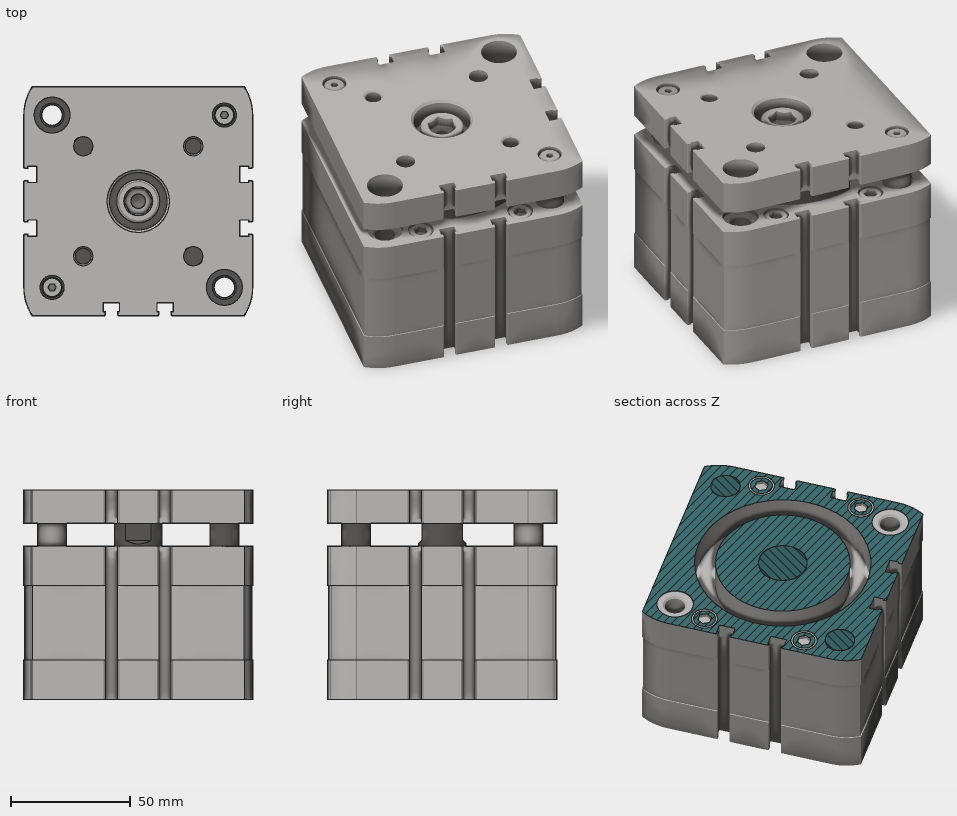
import cadquery as cq
import math

WIDTH = 95.5
TOTAL_HEIGHT = 87.4
PLATE_THICKNESS = 13.9
PLATE_BOTTOM = TOTAL_HEIGHT - PLATE_THICKNESS
HOUSING_TOP = 64.0
CAP_HEIGHT = 16.5
BARREL_INSET = 0.43
HALF = WIDTH / 2

CORNER_RADIUS = 22.0
CORNER_START = 35.8
CORNER_END = 46.5

SLOT_OFFSET = 11.2
SLOT_MOUTH = 5.2
SLOT_WIDTH = 6.7
SLOT_DEPTH = 5.35
SLOT_LIP = 1.7
SLOT_MOUTH_ROUNDING = 0.5

CORNER_HOLE = 35.9
GUIDE_DIAMETER = 12.0
SEAL_DIAMETER = 14.0
SEAL_DEPTH = 1.0
ROD_END = CAP_HEIGHT
MOUNT_ACCESS_DIAMETER = 15.0
MOUNT_RECESS_DEPTH = 2.0
MOUNT_HOLE_DIAMETER = 8.5
MOUNT_CHAMFER_DIAMETER = 10.0

PLATE_HOLE = 22.9
PLAIN_HOLE_DIAMETER = 8.0
THREAD_HOLE_DIAMETER = 6.7
THREAD_CHAMFER_DIAMETER = 8.0

BEARING_BOSS_DIAMETER = 56.3
GROOVE_DIAMETER = 73.3
GROOVE_DEPTH = 14.3
LEDGE_DIAMETER = 76.8
LEDGE_DEPTH = 0.8

PISTON_ROD_DIAMETER = 20.0
FLAT_DISTANCE = 17.0
FLAT_BOTTOM = 66.4
ROD_RECESS_DIAMETER = 24.0
ROD_RECESS_MOUTH = 26.0
ROD_RECESS_DEPTH = 9.55
ROD_TIP_DIAMETER = 18.0
ROD_TIP_HEIGHT = 6.0
ROD_TIP_ROUNDING = 0.8
ROD_HEX_FLATS = 10.7
ROD_HEX_DEPTH = 4.4
ROD_CONE_DEPTH = 0.8
ROD_HEX_MOUTH = 12.0
ROD_PILOT_DIAMETER = 6.0
ROD_PILOT_DEPTH = 1.9

SCREW_CHAMFER = 0.4
GUIDE_SCREW_RECESS_DIAMETER = 10.0
GUIDE_SCREW_HEAD_DIAMETER = 8.5
GUIDE_SCREW_RECESS = 2.9
GUIDE_SCREW_HEAD_HEIGHT = 2.1
GUIDE_HEX_FLATS = 3.0
GUIDE_HEX_DEPTH = 1.9
CAP_SCREW_RECESS_DIAMETER = 10.7
CAP_SCREW_HEAD_DIAMETER = 9.4
CAP_SCREW_X = 40.5
CAP_SCREW_Y = 21.7
CAP_SCREW_RECESS = 1.4
CAP_SCREW_HEAD_HEIGHT = 1.1
CAP_HEX_FLATS = 5.0
CAP_HEX_DEPTH = 2.9
CAP_HEX_MOUTH = 6.0

GUIDE_POINTS = [(CORNER_HOLE, CORNER_HOLE), (-CORNER_HOLE, -CORNER_HOLE)]
MOUNT_POINTS = [(-CORNER_HOLE, CORNER_HOLE), (CORNER_HOLE, -CORNER_HOLE)]
THREAD_POINTS = [(PLATE_HOLE, PLATE_HOLE), (-PLATE_HOLE, -PLATE_HOLE)]
PLAIN_POINTS = [(-PLATE_HOLE, PLATE_HOLE), (PLATE_HOLE, -PLATE_HOLE)]
CAP_SCREW_POINTS = [(x, y) for x in (-CAP_SCREW_X, CAP_SCREW_X) for y in (-CAP_SCREW_Y, CAP_SCREW_Y)]


def cylinder(diameter, z_bottom, z_top, points=((0, 0),)):
    """Upright cylinders at the given places."""
    return (
        cq.Workplane("XY")
        .workplane(offset=z_bottom)
        .pushPoints(points)
        .circle(diameter / 2)
        .extrude(z_top - z_bottom)
    )


def cone(low_diameter, high_diameter, z_bottom, z_top, points=((0, 0),)):
    """Upright cones at the given places; a zero diameter makes a point."""
    solid = cq.Solid.makeCone(low_diameter / 2, high_diameter / 2, z_top - z_bottom)
    return cq.Workplane("XY").pushPoints(points).eachpoint(
        lambda place: solid.translate((0, 0, z_bottom)).moved(place)
    )


def mouth_chamfer(hole_diameter, mouth_diameter, z_top, points):
    """45-degree cutter that widens a hole to its mouth diameter."""
    depth = (mouth_diameter - hole_diameter) / 2
    return cone(hole_diameter, mouth_diameter, z_top - depth, z_top, points)


def hex_socket(across_flats, depth, z_top, points=((0, 0),)):
    """Hexagonal cutters reaching down from z_top."""
    corner_diameter = across_flats / math.cos(math.pi / 6)
    return (
        cq.Workplane("XY")
        .workplane(offset=z_top)
        .pushPoints(points)
        .polygon(6, corner_diameter)
        .extrude(-depth)
    )


def block(z_bottom, z_top, inset=0.0):
    """Square prism whose +X and -X sides curve inwards towards the corners.

    Each curve ends in a short straight edge tangent to it.
    """
    side = HALF - inset
    start = CORNER_START
    end = CORNER_END - inset
    middle = (start + end) / 2

    def curve_x(y):
        return side - CORNER_RADIUS + math.sqrt(CORNER_RADIUS**2 - (y - start) ** 2)

    slope = (end - start) / math.sqrt(CORNER_RADIUS**2 - (end - start) ** 2)
    edge_x = curve_x(end) - (side - end) * slope
    quarter = (
        cq.Workplane("XY")
        .workplane(offset=z_bottom)
        .lineTo(side, 0)
        .lineTo(side, start)
        .threePointArc((curve_x(middle), middle), (curve_x(end), end))
        .lineTo(edge_x, side)
        .lineTo(0, side)
        .close()
        .extrude(z_top - z_bottom)
    )
    half = quarter.union(quarter.mirror("YZ"))
    return half.union(half.mirror("XZ")).clean()


def slot_cutter(z_bottom, z_top):
    """T-slot with rounded mouth edges, open towards -Y at Y = -HALF."""
    height = z_top - z_bottom
    half_mouth = SLOT_MOUTH / 2
    rounding = SLOT_MOUTH_ROUNDING
    bend = rounding * (1 - math.sqrt(0.5))
    mouth = (
        cq.Workplane("XY")
        .workplane(offset=z_bottom)
        .moveTo(-half_mouth - rounding, -HALF)
        .threePointArc((-half_mouth - bend, -HALF + bend), (-half_mouth, -HALF + rounding))
        .lineTo(-half_mouth, -HALF + SLOT_DEPTH)
        .lineTo(half_mouth, -HALF + SLOT_DEPTH)
        .lineTo(half_mouth, -HALF + rounding)
        .threePointArc((half_mouth + bend, -HALF + bend), (half_mouth + rounding, -HALF))
        .close()
        .extrude(height)
    )
    head = (
        cq.Workplane("XY")
        .workplane(offset=z_bottom)
        .center(0, -HALF + (SLOT_LIP + SLOT_DEPTH) / 2)
        .rect(SLOT_WIDTH, SLOT_DEPTH - SLOT_LIP)
        .extrude(height)
    )
    return mouth.union(head)


def cut_slots(body, z_bottom, z_top):
    """Two T-slots on each of the -Y, -X and +X sides."""
    for turn in (0, -90, 90):
        for offset in (-SLOT_OFFSET, SLOT_OFFSET):
            cutter = slot_cutter(z_bottom, z_top).translate((offset, 0, 0))
            body = body.cut(cutter.rotate((0, 0, 0), (0, 0, 1), turn))
    return body


def sunk_screws(
    body, points, z_top, recess_diameter, recess, head_diameter, head_height, across_flats, hex_depth
):
    """Recesses with a chamfered screw head standing on each floor."""
    floor = z_top - recess
    head_top = floor + head_height
    body = body.cut(cylinder(recess_diameter, floor, z_top, points))
    head = cylinder(head_diameter, floor, head_top, points).faces(">Z").chamfer(SCREW_CHAMFER)
    return body.union(head).cut(hex_socket(across_flats, hex_depth, head_top, points))


def build_housing():
    """Two caps and a slightly narrower barrel, with holes for the rods."""
    lower_cap = block(0, CAP_HEIGHT)
    barrel = block(CAP_HEIGHT, HOUSING_TOP - CAP_HEIGHT, BARREL_INSET)
    upper_cap = block(HOUSING_TOP - CAP_HEIGHT, HOUSING_TOP)
    housing = lower_cap.union(barrel).union(upper_cap)
    housing = cut_slots(housing, 0, HOUSING_TOP)

    mount_floor = HOUSING_TOP - MOUNT_RECESS_DEPTH
    housing = housing.cut(cylinder(MOUNT_ACCESS_DIAMETER, mount_floor, HOUSING_TOP, MOUNT_POINTS))
    housing = housing.cut(cylinder(MOUNT_HOLE_DIAMETER, 0, mount_floor, MOUNT_POINTS))
    mount_chamfer = mouth_chamfer(MOUNT_HOLE_DIAMETER, MOUNT_CHAMFER_DIAMETER, mount_floor, MOUNT_POINTS)
    housing = housing.cut(mount_chamfer)

    housing = housing.cut(cylinder(GUIDE_DIAMETER, ROD_END, HOUSING_TOP, GUIDE_POINTS))
    housing = housing.cut(cylinder(SEAL_DIAMETER, HOUSING_TOP - SEAL_DEPTH, HOUSING_TOP, GUIDE_POINTS))
    housing = housing.cut(cylinder(PISTON_ROD_DIAMETER, ROD_END, HOUSING_TOP))

    groove_floor = HOUSING_TOP - GROOVE_DEPTH
    groove = cylinder(GROOVE_DIAMETER, groove_floor, HOUSING_TOP)
    ledge = cylinder(LEDGE_DIAMETER, HOUSING_TOP - LEDGE_DEPTH, HOUSING_TOP)
    boss = cylinder(BEARING_BOSS_DIAMETER, groove_floor, HOUSING_TOP)
    housing = housing.cut(groove.union(ledge).cut(boss))

    housing = sunk_screws(
        housing,
        CAP_SCREW_POINTS,
        HOUSING_TOP,
        CAP_SCREW_RECESS_DIAMETER,
        CAP_SCREW_RECESS,
        CAP_SCREW_HEAD_DIAMETER,
        CAP_SCREW_HEAD_HEIGHT,
        CAP_HEX_FLATS,
        CAP_HEX_DEPTH,
    )
    cap_head_top = HOUSING_TOP - CAP_SCREW_RECESS + CAP_SCREW_HEAD_HEIGHT
    return housing.cut(mouth_chamfer(CAP_HEX_FLATS, CAP_HEX_MOUTH, cap_head_top, CAP_SCREW_POINTS))


def piston_rod(z_top):
    """Piston rod with two wrench flats that run out at 45 degrees."""
    radius = PISTON_ROD_DIAMETER / 2
    flat = FLAT_DISTANCE / 2
    run_out = radius - flat
    rod = cylinder(PISTON_ROD_DIAMETER, ROD_END, z_top)
    flat_side = (
        cq.Workplane("YZ")
        .workplane(offset=-radius)
        .moveTo(flat, FLAT_BOTTOM)
        .lineTo(radius, FLAT_BOTTOM - run_out)
        .lineTo(radius, PLATE_BOTTOM)
        .lineTo(flat, PLATE_BOTTOM)
        .close()
        .extrude(2 * radius)
    )
    return rod.cut(flat_side).cut(flat_side.mirror("XZ"))


def build_moving_unit():
    """Front plate together with its piston rod and two guide rods."""
    plate = cut_slots(block(PLATE_BOTTOM, TOTAL_HEIGHT), PLATE_BOTTOM, TOTAL_HEIGHT)
    plate = plate.cut(cylinder(MOUNT_ACCESS_DIAMETER, PLATE_BOTTOM, TOTAL_HEIGHT, MOUNT_POINTS))
    plate = plate.cut(cylinder(PLAIN_HOLE_DIAMETER, PLATE_BOTTOM, TOTAL_HEIGHT, PLAIN_POINTS))
    plate = plate.cut(cylinder(THREAD_HOLE_DIAMETER, PLATE_BOTTOM, TOTAL_HEIGHT, THREAD_POINTS))
    thread_chamfer = mouth_chamfer(THREAD_HOLE_DIAMETER, THREAD_CHAMFER_DIAMETER, TOTAL_HEIGHT, THREAD_POINTS)
    plate = plate.cut(thread_chamfer)

    recess_floor = TOTAL_HEIGHT - ROD_RECESS_DEPTH
    plate = plate.cut(cylinder(ROD_RECESS_DIAMETER, recess_floor, TOTAL_HEIGHT))
    plate = plate.cut(mouth_chamfer(ROD_RECESS_DIAMETER, ROD_RECESS_MOUTH, TOTAL_HEIGHT, [(0, 0)]))

    tip_top = recess_floor + ROD_TIP_HEIGHT
    tip = cylinder(ROD_TIP_DIAMETER, recess_floor, tip_top).faces(">Z").edges().fillet(ROD_TIP_ROUNDING)
    unit = plate.union(piston_rod(PLATE_BOTTOM)).union(tip)

    unit = unit.union(cylinder(GUIDE_DIAMETER, ROD_END, PLATE_BOTTOM, GUIDE_POINTS))

    hex_floor = tip_top - ROD_HEX_DEPTH
    pilot_top = hex_floor - ROD_CONE_DEPTH
    pilot_bottom = pilot_top - ROD_PILOT_DEPTH
    point_depth = ROD_PILOT_DIAMETER / 2 * math.tan(math.pi / 6)
    unit = unit.cut(hex_socket(ROD_HEX_FLATS, ROD_HEX_DEPTH, tip_top))
    unit = unit.cut(mouth_chamfer(ROD_HEX_FLATS, ROD_HEX_MOUTH, tip_top, [(0, 0)]))
    unit = unit.cut(cone(ROD_PILOT_DIAMETER, ROD_HEX_FLATS, pilot_top, hex_floor))
    unit = unit.cut(cylinder(ROD_PILOT_DIAMETER, pilot_bottom, pilot_top))
    unit = unit.cut(cone(0, ROD_PILOT_DIAMETER, pilot_bottom - point_depth, pilot_bottom))

    return sunk_screws(
        unit,
        GUIDE_POINTS,
        TOTAL_HEIGHT,
        GUIDE_SCREW_RECESS_DIAMETER,
        GUIDE_SCREW_RECESS,
        GUIDE_SCREW_HEAD_DIAMETER,
        GUIDE_SCREW_HEAD_HEIGHT,
        GUIDE_HEX_FLATS,
        GUIDE_HEX_DEPTH,
    )


housing = build_housing()
moving_unit = build_moving_unit()

result = cq.Compound.makeCompound([housing.solids().val(), moving_unit.solids().val()])